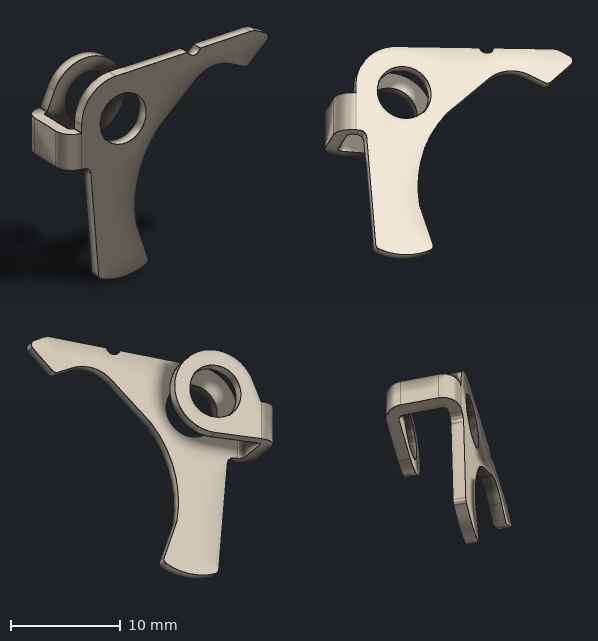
import cadquery as cq
import math

thickness = 1.2
overall_width = 7.0
inner_bend_radius = 0.5
outer_bend_radius = inner_bend_radius + thickness
hole_radius = 2.5
eye_radius = 4.0
bend_y = -4.5
bridge_height = 3.6
bridge_bottom_z = -eye_radius
bridge_top_z = bridge_bottom_z + bridge_height
bridge_outer_y = bend_y - outer_bend_radius
lever_x = overall_width - thickness

heel = (bend_y, 4.17)
nose_top = (14.23, 5.38)
nose_tip = (16.12, 4.5)
nose_bottom = (13.46, 1.87)
throat = (9.57, 3.54)
arm_top = (3.97, -1.73)
arm_middle = (1.47, -7.05)
arm_bottom = (1.45, -10.83)
foot_inner = (2.83, -14.9)
foot_middle = (-0.37, -15.8)
foot_outer = (-2.64, -15.3)
armpit = (-3.55, bridge_bottom_z)

corner_radius = 0.5
nose_top_radius = 1.5
armpit_radius = 0.7
heel_radius = 4.0
throat_radius = 3.51
notch_radius = 0.7
notch_center = (7.69, 5.15)


def make_lever():
    """Large plate with its nose, arm and foot."""
    plate = (
        cq.Workplane("YZ", origin=(lever_x, 0, 0))
        .moveTo(bend_y, bridge_bottom_z)
        .lineTo(*heel)
        .lineTo(*nose_top)
        .lineTo(*nose_tip)
        .lineTo(*nose_bottom)
        .lineTo(*throat)
        .lineTo(*arm_top)
        .threePointArc(arm_middle, arm_bottom)
        .lineTo(*foot_inner)
        .threePointArc(foot_middle, foot_outer)
        .lineTo(*armpit)
        .close()
        .extrude(thickness)
    )
    roundings = [
        (heel, heel_radius),
        (nose_top, nose_top_radius),
        (nose_tip, corner_radius),
        (nose_bottom, corner_radius),
        (throat, throat_radius),
        (foot_inner, corner_radius),
        (foot_outer, corner_radius),
        (armpit, armpit_radius),
    ]
    for (y, z), radius in roundings:
        corner = (lever_x + thickness / 2, y, z)
        plate = plate.edges("|X").edges(cq.NearestToPointSelector(corner)).fillet(radius)
    notch = (
        cq.Workplane("YZ", origin=(lever_x, 0, 0))
        .center(*notch_center)
        .circle(notch_radius)
        .extrude(thickness)
    )
    return plate.cut(notch)


def make_eye():
    """Small plate around the pivot, with a tangent edge down to the bridge."""
    reach = math.hypot(bend_y, bridge_top_z)
    corner_angle = math.atan2(bridge_top_z, bend_y)
    tangent_angle = corner_angle - math.acos(eye_radius / reach)
    tangent_point = (eye_radius * math.cos(tangent_angle), eye_radius * math.sin(tangent_angle))
    return (
        cq.Workplane("YZ")
        .moveTo(0, -eye_radius)
        .lineTo(bend_y, bridge_bottom_z)
        .lineTo(bend_y, bridge_top_z)
        .lineTo(*tangent_point)
        .threePointArc((eye_radius, 0), (0, -eye_radius))
        .close()
        .extrude(thickness)
    )


def make_bridge():
    """U-shaped strip joining the two plates, with rounded bends."""
    far_bend_x = overall_width - outer_bend_radius
    inner_y = bridge_outer_y + thickness
    return (
        cq.Workplane("XY", origin=(0, 0, bridge_bottom_z))
        .moveTo(0, bend_y)
        .radiusArc((outer_bend_radius, bridge_outer_y), -outer_bend_radius)
        .lineTo(far_bend_x, bridge_outer_y)
        .radiusArc((overall_width, bend_y), -outer_bend_radius)
        .lineTo(lever_x, bend_y)
        .radiusArc((far_bend_x, inner_y), inner_bend_radius)
        .lineTo(outer_bend_radius, inner_y)
        .radiusArc((thickness, bend_y), inner_bend_radius)
        .close()
        .extrude(bridge_height)
    )


pivot_hole = cq.Workplane("YZ").circle(hole_radius).extrude(overall_width)

result = make_lever().union(make_bridge()).union(make_eye()).cut(pivot_hole)